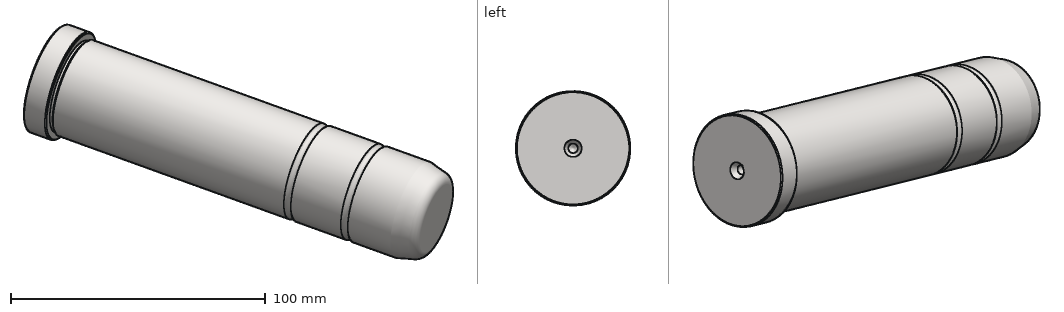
import cadquery as cq
import math

LENGTH = 170.0
HEAD_RADIUS = 22.52
HEAD_LENGTH = 10.0
HEAD_CHAMFER = 0.5
BODY_RADIUS = 20.0

RELIEF_END = 11.2
RELIEF_DEPTH = 0.8
RELIEF_RAMP = 0.7

GROOVE_CENTERS = (114.8, 139.7)
GROOVE_WIDTH = 3.0
GROOVE_DEPTH = 1.0

TAPER_START = 160.0
TAPER_ANGLE = math.radians(15)
TIP_FILLET = 4.0

COUNTERSINK_RADIUS = 3.4
PILOT_RADIUS = 1.9
COUNTERSINK_ANGLE = math.radians(60)
PILOT_LENGTH = 4.2
DRILL_POINT_ANGLE = math.radians(120)


def revolve_about_x(profile):
    """Revolve a closed (X, radius) profile about the pin axis."""
    return profile.close().revolve(360, (0, 0, 0), (1, 0, 0))


def cone_depth(large_radius, small_radius, included_angle):
    return (large_radius - small_radius) / math.tan(included_angle / 2)


def make_pin():
    relief_radius = BODY_RADIUS - RELIEF_DEPTH
    profile = (
        cq.Workplane("XY")
        .lineTo(0, HEAD_RADIUS - HEAD_CHAMFER)
        .lineTo(HEAD_CHAMFER, HEAD_RADIUS)
        .lineTo(HEAD_LENGTH - HEAD_CHAMFER, HEAD_RADIUS)
        .lineTo(HEAD_LENGTH, HEAD_RADIUS - HEAD_CHAMFER)
        .lineTo(HEAD_LENGTH, relief_radius)
        .lineTo(RELIEF_END, relief_radius)
        .lineTo(RELIEF_END + RELIEF_RAMP, BODY_RADIUS)
    )
    for center in GROOVE_CENTERS:
        profile = profile.lineTo(center - GROOVE_WIDTH / 2, BODY_RADIUS).threePointArc(
            (center, BODY_RADIUS - GROOVE_DEPTH),
            (center + GROOVE_WIDTH / 2, BODY_RADIUS),
        )
    end_radius = BODY_RADIUS - (LENGTH - TAPER_START) * math.tan(TAPER_ANGLE)
    profile = (
        profile.lineTo(TAPER_START, BODY_RADIUS)
        .lineTo(LENGTH, end_radius)
        .lineTo(LENGTH, 0)
    )
    return revolve_about_x(profile).faces(">X").edges().fillet(TIP_FILLET)


def make_center_hole():
    countersink_depth = cone_depth(COUNTERSINK_RADIUS, PILOT_RADIUS, COUNTERSINK_ANGLE)
    pilot_end = countersink_depth + PILOT_LENGTH
    point_end = pilot_end + cone_depth(PILOT_RADIUS, 0, DRILL_POINT_ANGLE)
    profile = (
        cq.Workplane("XY")
        .lineTo(0, COUNTERSINK_RADIUS)
        .lineTo(countersink_depth, PILOT_RADIUS)
        .lineTo(pilot_end, PILOT_RADIUS)
        .lineTo(point_end, 0)
    )
    return revolve_about_x(profile)


result = make_pin().cut(make_center_hole())